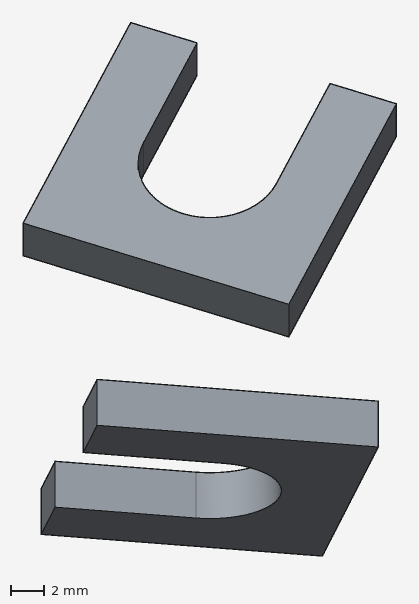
import cadquery as cq

side = 17.27
thickness = 3.0
slot_width = side / 2

slot_radius = slot_width / 2
open_edge = side / 2

plate = cq.Workplane("XY").box(side, side, thickness)

slot = (
    cq.Workplane("XY")
    .moveTo(-slot_radius, open_edge)
    .lineTo(-slot_radius, 0)
    .threePointArc((0, -slot_radius), (slot_radius, 0))
    .lineTo(slot_radius, open_edge)
    .close()
    .extrude(thickness / 2, both=True)
)

result = plate.cut(slot)